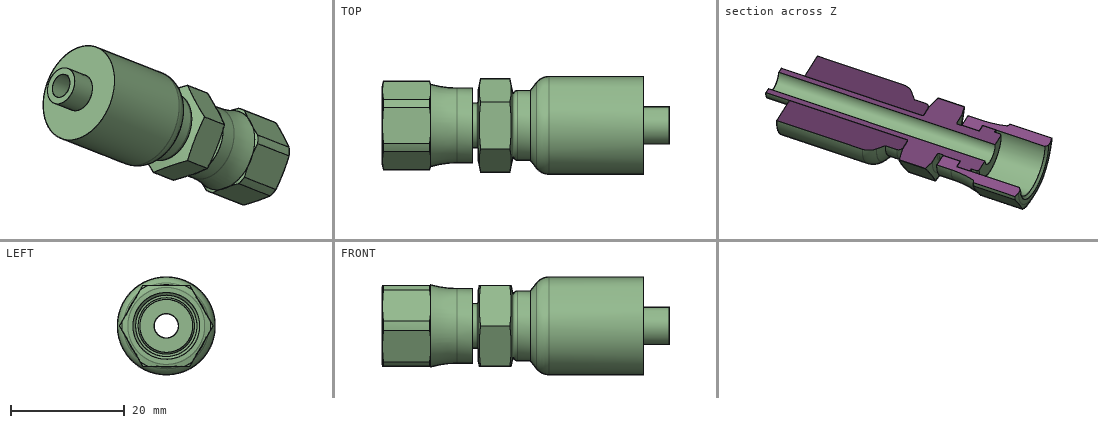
import cadquery as cq
import math


across_flats = 14.29
corner_radius = across_flats / math.sqrt(3)
total_length = 50.59
neck_radius = 3.95
head_radius = 5.4

nut_corner_radius = 7.82
nut_hex_length = 8.55
nut_face_radius = 6.78
nut_face_chamfer = 0.25
nut_taper_radius = 7.26
nut_hex_back_chamfer = 0.2
nut_taper_end = 13.15
nut_collar_radius = 6.6
nut_length = 15.95
mouth_chamfer = 0.48
nut_bore_depth = 12.5

bore_radius = 2.12
nose_start = 8.6
nose_radius = 4.96
nose_chamfer = 0.3
head_start = 10.0
hex_start = 16.93
neck_fillet = 0.25
hex_cone_slope = math.tan(math.radians(12))
hex_face_radius = 6.3
tail_radius = 3.3

shell_start = 23.1
shell_front_radius = 5.4
shell_collar_radius = 6.18
shell_collar_fillet = shell_collar_radius - shell_front_radius
shell_cone_start = 26.1
shell_radius = 17.27 / 2
shell_cone_angle = math.radians(51.5)
shell_shoulder_end = 29.43
shell_end = 46.05


def revolve_profile(profile):
    """Revolve a closed (x, radius) profile about the X axis."""
    return profile.close().revolve(360, (0, 0, 0), (1, 0, 0))


def hexagonal_bar(start, end):
    """Hexagonal bar along X with two corners on the Y axis."""
    return (
        cq.Workplane("YZ", origin=(start, 0, 0))
        .polygon(6, 2 * corner_radius)
        .extrude(end - start)
    )


def make_nut():
    hex_envelope = revolve_profile(
        cq.Workplane("XY")
        .lineTo(0, nut_face_radius)
        .lineTo(nut_face_chamfer, nut_corner_radius)
        .lineTo(nut_hex_length - nut_hex_back_chamfer, nut_corner_radius)
        .lineTo(nut_hex_length, nut_taper_radius)
        .lineTo(nut_hex_length, 0)
    )
    hexagon = hexagonal_bar(0, nut_hex_length).intersect(hex_envelope)

    rear = revolve_profile(
        cq.Workplane("XY")
        .moveTo(nut_length, 0)
        .lineTo(nut_length, nut_collar_radius)
        .lineTo(nut_taper_end, nut_collar_radius)
        .tangentArcPoint((nut_hex_length, nut_taper_radius), relative=False)
        .lineTo(nut_hex_length, 0)
    )

    cavity = revolve_profile(
        cq.Workplane("XY")
        .lineTo(0, head_radius + mouth_chamfer)
        .lineTo(mouth_chamfer, head_radius)
        .lineTo(nut_bore_depth, head_radius)
        .lineTo(nut_bore_depth, neck_radius)
        .lineTo(nut_length, neck_radius)
        .lineTo(nut_length, 0)
    )
    return hexagon.union(rear).cut(cavity)


def make_stem():
    front = revolve_profile(
        cq.Workplane("XY")
        .moveTo(nose_start, 0)
        .lineTo(nose_start, nose_radius - nose_chamfer)
        .lineTo(nose_start + nose_chamfer, nose_radius)
        .lineTo(head_start, nose_radius)
        .lineTo(head_start, head_radius)
        .lineTo(nut_bore_depth, head_radius)
        .lineTo(nut_bore_depth, neck_radius)
        .lineTo(hex_start - neck_fillet, neck_radius)
        .tangentArcPoint((hex_start, neck_radius + neck_fillet), relative=False)
        .lineTo(hex_start, 0)
    )

    front_cone_length = (corner_radius - hex_face_radius) * hex_cone_slope
    rear_cone_length = (corner_radius - shell_front_radius) * hex_cone_slope
    hex_envelope = revolve_profile(
        cq.Workplane("XY")
        .moveTo(hex_start, 0)
        .lineTo(hex_start, hex_face_radius)
        .lineTo(hex_start + front_cone_length, corner_radius)
        .lineTo(shell_start - rear_cone_length, corner_radius)
        .lineTo(shell_start, shell_front_radius)
        .lineTo(shell_start, 0)
    )
    hexagon = hexagonal_bar(hex_start, shell_start).intersect(hex_envelope)

    tail = (
        cq.Workplane("YZ", origin=(shell_start, 0, 0))
        .circle(tail_radius)
        .extrude(total_length - shell_start)
    )
    bore = cq.Workplane("YZ").circle(bore_radius).extrude(total_length)
    return front.union(hexagon).union(tail).cut(bore)


def make_shell():
    cone_meets_skirt = shell_cone_start + (
        (shell_radius - shell_collar_radius) / math.tan(shell_cone_angle)
    )
    tangent_length = shell_shoulder_end - cone_meets_skirt
    shoulder_start = cone_meets_skirt - tangent_length * math.cos(shell_cone_angle)
    shoulder_start_radius = shell_radius - tangent_length * math.sin(shell_cone_angle)
    return revolve_profile(
        cq.Workplane("XY")
        .moveTo(shell_start, tail_radius)
        .lineTo(shell_start, shell_front_radius)
        .tangentArcPoint(
            (shell_start + shell_collar_fillet, shell_collar_radius), relative=False
        )
        .lineTo(shell_cone_start, shell_collar_radius)
        .lineTo(shoulder_start, shoulder_start_radius)
        .tangentArcPoint((shell_shoulder_end, shell_radius), relative=False)
        .lineTo(shell_end, shell_radius)
        .lineTo(shell_end, tail_radius)
    )


nut = make_nut()
stem = make_stem()
shell = make_shell()

result = cq.Compound.makeCompound([nut.solids().val(), stem.solids().val(), shell.val()])